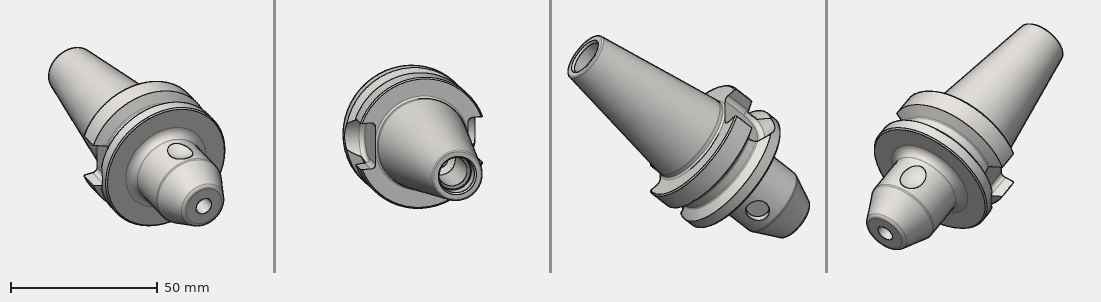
import cadquery as cq
import math

total_length = 98.4

gauge_radius = 15.8
taper_length = 48.4
taper_slope = 7 / 48
shank_end_radius = gauge_radius - taper_slope * taper_length
shank_end_fillet = 0.5

flange_start = 50.5
flange_width = 19.9
flange_end = flange_start + flange_width
flange_diameter = 46.0
flange_radius = flange_diameter / 2
flange_chamfer = 0.5
shank_root_fillet = 0.7

groove_centre = 62.0
groove_floor_radius = 19.1
groove_floor_width = 3.5
groove_corner_fillet = 0.5
groove_flank_angle = 30
groove_flank_width = (flange_radius - groove_floor_radius) * math.tan(math.radians(groove_flank_angle))

nose_radius = 12.5
nose_root_fillet = 3.0
nose_cone_start = 87.6
nose_cone_fillet = 1.5
nose_face_radius = 7.8
nose_face_fillet = 1.5

slot_width = 16.1
slot_end = 67.4
slot_floor = 16.2
slot_fillet = 1.7

mouth_radius = 6.7
pilot_radius = 6.2
pilot_depth = 5.2
mouth_chamfer_length = 0.9
pilot_cone_length = 0.4
relief_radius = 6.0
relief_depth = 7.1
relief_fillet = 0.3
thread_radius = 5.2
thread_depth = 24.0
thread_cone_angle = 60
tool_bore_radius = 3.0

screw_x = 80.9
screw_radius = 4.0
screw_length = 8.0
screw_tip = 1.9
screw_tip_chamfer = 0.5
dimple_sphere_radius = 9.3
dimple_depth = 1.6

arc_offset = 1 - math.sqrt(0.5)


def revolve_about_x(profile):
    return profile.close().revolve(360, (0, 0, 0), (1, 0, 0))


def make_outer_shape():
    groove_floor_start = groove_centre - groove_floor_width / 2
    groove_floor_end = groove_centre + groove_floor_width / 2
    profile = (
        cq.Workplane("XY")
        .lineTo(0, shank_end_radius)
        .lineTo(taper_length, gauge_radius)
        .lineTo(flange_start - shank_root_fillet, gauge_radius)
        .threePointArc(
            (flange_start - arc_offset * shank_root_fillet, gauge_radius + arc_offset * shank_root_fillet),
            (flange_start, gauge_radius + shank_root_fillet),
        )
        .lineTo(flange_start, flange_radius - flange_chamfer)
        .lineTo(flange_start + flange_chamfer, flange_radius)
        .lineTo(groove_floor_start - groove_flank_width, flange_radius)
        .lineTo(groove_floor_start, groove_floor_radius)
        .lineTo(groove_floor_end, groove_floor_radius)
        .lineTo(groove_floor_end + groove_flank_width, flange_radius)
        .lineTo(flange_end - flange_chamfer, flange_radius)
        .lineTo(flange_end, flange_radius - flange_chamfer)
        .lineTo(flange_end, nose_radius)
        .lineTo(nose_cone_start, nose_radius)
        .lineTo(total_length, nose_face_radius)
        .lineTo(total_length, 0)
    )
    return revolve_about_x(profile)


def circle_edge_at(x, radius):
    margin = 0.1
    reach = radius + margin
    low_corner = (x - margin, -reach, -reach)
    high_corner = (x + margin, reach, reach)
    return cq.selectors.BoxSelector(low_corner, high_corner, boundingbox=True)


def round_shank_end(body):
    return body.edges(circle_edge_at(0, shank_end_radius)).fillet(shank_end_fillet)


def round_groove_corners(body):
    for side in (-1, 1):
        corner_x = groove_centre + side * groove_floor_width / 2
        body = body.edges(circle_edge_at(corner_x, groove_floor_radius)).fillet(groove_corner_fillet)
    return body


def round_nose(body):
    body = body.edges(circle_edge_at(flange_end, nose_radius)).fillet(nose_root_fillet)
    body = body.edges(circle_edge_at(nose_cone_start, nose_radius)).fillet(nose_cone_fillet)
    return body.edges(circle_edge_at(total_length, nose_face_radius)).fillet(nose_face_fillet)


def make_drive_slot(side):
    """Round-ended cutter on the given Y side (+1 or -1), open toward the shank."""
    open_length = 9.8
    arc_centre = slot_end - slot_width / 2
    return (
        cq.Workplane("XZ", origin=(0, side * slot_floor, 0))
        .moveTo(arc_centre - open_length, -slot_width / 2)
        .lineTo(arc_centre, -slot_width / 2)
        .threePointArc((slot_end, 0), (arc_centre, slot_width / 2))
        .lineTo(arc_centre - open_length, slot_width / 2)
        .close()
        .extrude(-side * flange_radius)
        .faces("<Y" if side > 0 else ">Y")
        .edges("not <X")
        .fillet(slot_fillet)
    )


def make_bore():
    thread_cone_length = (thread_radius - tool_bore_radius) / math.tan(math.radians(thread_cone_angle))
    profile = (
        cq.Workplane("XY")
        .lineTo(0, mouth_radius)
        .lineTo(mouth_chamfer_length, pilot_radius)
        .lineTo(pilot_depth, pilot_radius)
        .lineTo(pilot_depth + pilot_cone_length, relief_radius)
        .lineTo(relief_depth - relief_fillet, relief_radius)
        .threePointArc(
            (relief_depth - arc_offset * relief_fillet, relief_radius - arc_offset * relief_fillet),
            (relief_depth, relief_radius - relief_fillet),
        )
        .lineTo(relief_depth, thread_radius)
        .lineTo(thread_depth, thread_radius)
        .lineTo(thread_depth + thread_cone_length, tool_bore_radius)
        .lineTo(total_length, tool_bore_radius)
        .lineTo(total_length, 0)
    )
    return revolve_about_x(profile)


def make_screw_hole():
    return (
        cq.Workplane("XY", origin=(screw_x, 0, -screw_tip))
        .circle(screw_radius)
        .extrude(-flange_radius)
    )


def make_dimple():
    sphere_height = nose_radius - dimple_depth + dimple_sphere_radius
    return cq.Workplane("XY", origin=(screw_x, 0, sphere_height)).sphere(dimple_sphere_radius)


def make_holder():
    holder = round_shank_end(make_outer_shape())
    holder = round_groove_corners(holder)
    holder = round_nose(holder)
    for side in (-1, 1):
        holder = holder.cut(make_drive_slot(side))
    return holder.cut(make_bore()).cut(make_screw_hole()).cut(make_dimple())


def make_clamping_screw():
    return (
        cq.Workplane("XY", origin=(screw_x, 0, -screw_tip))
        .circle(screw_radius)
        .extrude(-screw_length)
        .faces(">Z")
        .chamfer(screw_tip_chamfer)
    )


holder = make_holder()
clamping_screw = make_clamping_screw()

result = cq.Compound.makeCompound([holder.val(), clamping_screw.val()])